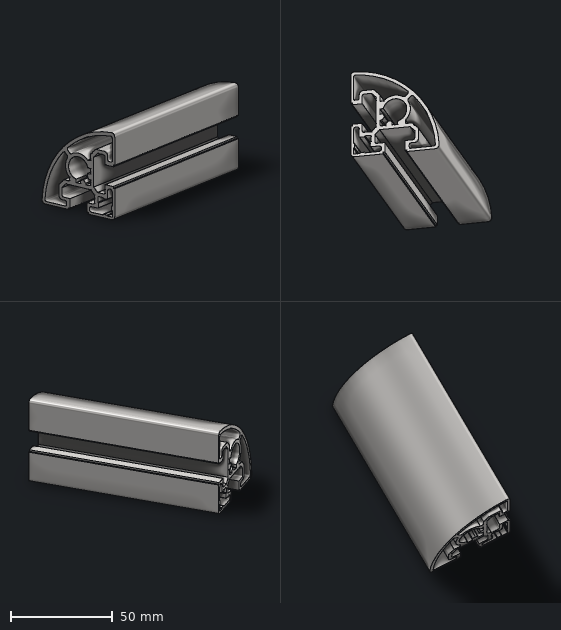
import cadquery as cq
import math


side = 45.0
length = 100.0
half = side / 2
end_fillet = 2.0
square_fillet = 2.0

skin_wall = 1.9
side_wall = 1.5
channel_wall = 1.9
lip_wall = 1.5
rib_width = 2.2

mouth_half = 5.1
rebate_half = 6.0
rebate_depth = 0.9
slot_floor = 9.5
slot_half = 10.1
slot_lip = 16.6
slot_chamfer = 2.4
slot_fillet = 1.1

bore_radius = 6.0
tube_radius = 7.9
keyway_half = 1.4
diagonal_half = 1.5
pocket_start = 4.6
pocket_fillet = 1.0

hollow_chamfer = 3.1
hollow_lip_fillet = 2.0
hollow_fillet = 1.0
ledge_fillet = 0.6
hollow_ledge = 5.4
hollow_bottom = 7.3

corner_tip = 6.8
corner_fillet = 0.8
pad_start = 15.1
pad_end = 17.9
channel_pad = 0.5
side_pad = 0.4
pad_slope = 0.3

web = slot_floor - channel_wall
channel_half = slot_half + channel_wall
lip_back = slot_lip + lip_wall
side_inner = half - side_wall

diagonal_cosine = math.sqrt(0.5)

skin_radius = end_fillet + math.hypot(side - end_fillet, end_fillet)


def section():
    """X-Z sketch plane at the +Y end; extrusion runs toward -Y."""
    return cq.Workplane("XZ", origin=(0, length / 2, 0))


def prism(points):
    """Full-length bar with a polygonal X-Z section."""
    return section().polyline(points).close().extrude(length)


def swap(points):
    """Mirror points about the diagonal z = -x, in reverse order."""
    return [(-z, -x) for x, z in reversed(points)]


def mirrored(body):
    """Mirror a body about the diagonal plane z = -x."""
    return body.mirror(cq.Vector(1, 0, 1))


def lengthwise_fillet(body, points, radius):
    """Round the lengthwise edges passing through the given section points."""
    tolerance = 0.05
    edges = body.newObject([])
    for x, z in points:
        corner = cq.selectors.BoxSelector(
            (x - tolerance, -tolerance, z - tolerance),
            (x + tolerance, tolerance, z + tolerance))
        edges = edges.add(body.edges("|Y").edges(corner))
    return edges.fillet(radius)


def sector(radius):
    """Quarter cylinder centred on the square corner."""
    middle = radius * diagonal_cosine
    return (section().moveTo(half, -half).lineTo(half - radius, -half)
            .threePointArc((half - middle, middle - half), (half, radius - half))
            .close().extrude(length))


def envelope():
    """Solid quarter-round bar with rounded outer corners."""
    body = sector(skin_radius)
    body = lengthwise_fillet(body, [(half, -half)], square_fillet)
    arc_end = skin_radius - half
    return lengthwise_fillet(body, [(-arc_end, -half), (half, arc_end)], end_fillet)


def t_slot():
    """T-slot opening through the +X side, with a shallow rebate at its mouth."""
    upper = [
        (slot_floor, slot_half - slot_chamfer),
        (slot_floor + slot_chamfer, slot_half),
        (slot_lip, slot_half),
        (slot_lip, mouth_half),
        (half - rebate_depth, mouth_half),
        (half - rebate_depth, rebate_half),
        (half, rebate_half),
    ]
    lower = [(x, -z) for x, z in reversed(upper)]
    slot = prism(upper + lower)
    return lengthwise_fillet(slot, [(slot_lip, slot_half), (slot_lip, -slot_half)], slot_fillet)


def bore():
    """Screw bore with two keyways and a diagonal groove running into a corner pocket."""
    corner = (web, -web)
    pocket = prism([(pocket_start, -pocket_start), (web, -pocket_start),
                    corner, (pocket_start, -web)])
    pocket = lengthwise_fillet(pocket, [corner], pocket_fillet)
    keyway = prism([(0, keyway_half), (web, keyway_half), (web, -keyway_half), (0, -keyway_half)])
    offset = diagonal_half * diagonal_cosine
    end = pocket_start + offset
    diagonal = prism([(offset, offset), (end + offset, offset - end),
                      (end - offset, -offset - end), (-offset, -offset)])
    hole = section().circle(bore_radius).extrude(length)
    return hole.union(pocket).union(keyway).union(mirrored(keyway)).union(diagonal)


def rib_face_point(distance):
    """Point on the +Z face of the rib, at a distance along the diagonal from the bore axis."""
    side_step = rib_width / 2
    return ((side_step - distance) * diagonal_cosine, (side_step + distance) * diagonal_cosine)


def skin_hollow():
    """Hollow between the curved skin, the rib, the bore tube and the +X T-slot."""
    rib_shift = rib_width / 2 / diagonal_cosine
    shoulder = (web + hollow_chamfer, channel_half)
    lip_corner = (lip_back, channel_half)
    region = prism([
        (rib_shift - half, half),
        (rib_shift - hollow_ledge, hollow_ledge),
        (web, hollow_ledge),
        (web, channel_half - hollow_chamfer),
        shoulder,
        lip_corner,
        (lip_back, hollow_bottom),
        (side_inner, hollow_bottom),
        (side_inner, half),
    ])
    inner_radius = skin_radius - skin_wall
    tube = section().circle(tube_radius).extrude(length)
    hollow = region.intersect(sector(inner_radius)).cut(tube)

    skin_top = math.sqrt(inner_radius ** 2 - side_wall ** 2) - half
    axis_to_square_corner = half / diagonal_cosine
    half_rib = rib_width / 2
    tube_end = rib_face_point(math.sqrt(tube_radius ** 2 - half_rib ** 2))
    skin_end = rib_face_point(math.sqrt(inner_radius ** 2 - half_rib ** 2) - axis_to_square_corner)
    corners = [shoulder, (lip_back, hollow_bottom), (side_inner, hollow_bottom),
               (side_inner, skin_top), tube_end, skin_end]
    hollow = lengthwise_fillet(hollow, corners, hollow_fillet)
    hollow = lengthwise_fillet(hollow, [(web, hollow_ledge)], ledge_fillet)
    return lengthwise_fillet(hollow, [lip_corner], hollow_lip_fillet)


def corner_hollow():
    """L-shaped hollow in the square corner; each arm ends in a full round behind a lip."""
    tip_radius = (side_inner - lip_back) / 2
    tip_x = lip_back + tip_radius
    tip_z = -corner_tip - tip_radius
    inner_corner = (channel_half, -channel_half)
    pad_face = channel_half + channel_pad
    arm = [
        (pad_start, -channel_half),
        (pad_start + pad_slope, -pad_face),
        (lip_back - pad_slope, -pad_face),
        (lip_back, -pad_face + pad_slope),
        (lip_back, tip_z),
        (side_inner, tip_z),
        (side_inner, -pad_start),
        (side_inner - side_pad, -pad_start - pad_slope),
        (side_inner - side_pad, -pad_end + pad_slope),
        (side_inner, -pad_end),
    ]
    hollow = prism([inner_corner] + arm + [(side_inner, -side_inner)] + swap(arm))
    hollow = lengthwise_fillet(hollow, [inner_corner], corner_fillet)
    tip = section().center(tip_x, tip_z).circle(tip_radius).extrude(length)
    return hollow.union(tip).union(mirrored(tip))


result = envelope().cut(bore()).cut(corner_hollow())
for cutter in (t_slot(), skin_hollow()):
    result = result.cut(cutter).cut(mirrored(cutter))